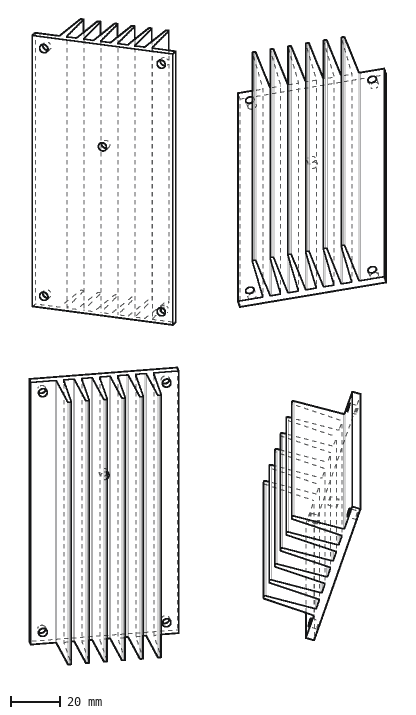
import cadquery as cq
import math

width = 61.0
depth = 25.3
height = 116.8
plate_thickness = 3.5

fin_count = 6
fin_span = 37.0
fin_root_width = 3.0
fin_draft_degrees = 2.1
fin_tip_radius = 0.6
fin_root_radius = 0.5

hole_diameter = 3.5
hole_edge_distance = 5.0
center_hole_drop = 44.0

fin_length = depth - plate_thickness
fin_tip_width = fin_root_width - 2 * fin_length * math.tan(math.radians(fin_draft_degrees))
fin_pitch = fin_span / (fin_count - 1)
fin_centers = [i * fin_pitch - fin_span / 2 for i in range(fin_count)]


def make_plate():
    """Plate with its mounting face on Y = 0 and its lower end on Z = 0."""
    plate = cq.Workplane("XY").rect(width, plate_thickness).extrude(height)
    return plate.translate((0, plate_thickness / 2, 0))


def make_fin(center_x):
    """Fin with straight drafted sides and a rounded tip."""
    outline = [
        (center_x - fin_root_width / 2, plate_thickness),
        (center_x + fin_root_width / 2, plate_thickness),
        (center_x + fin_tip_width / 2, depth),
        (center_x - fin_tip_width / 2, depth),
    ]
    fin = cq.Workplane("XY").polyline(outline).close().extrude(height)
    return fin.faces(">Y").edges("|Z").fillet(fin_tip_radius)


def round_fin_roots(body):
    """Small fillet along both sides of every fin where it meets the plate."""
    reach = fin_root_width
    fin_zone = cq.selectors.BoxSelector(
        (fin_centers[0] - reach, plate_thickness - fin_root_radius, 0),
        (fin_centers[-1] + reach, plate_thickness + fin_root_radius, height),
    )
    return body.edges("|Z").edges(fin_zone).fillet(fin_root_radius)


def make_holes():
    """Cutters for the four corner holes and the one on the centre line."""
    hole_x = width / 2 - hole_edge_distance
    hole_points = [(x, z) for x in (-hole_x, hole_x) for z in (hole_edge_distance, height - hole_edge_distance)]
    hole_points.append((0, height - center_hole_drop))
    return cq.Workplane("XZ").pushPoints(hole_points).circle(hole_diameter / 2).extrude(-plate_thickness)


body = make_plate()
for fin_center in fin_centers:
    body = body.union(make_fin(fin_center))
result = round_fin_roots(body).cut(make_holes())